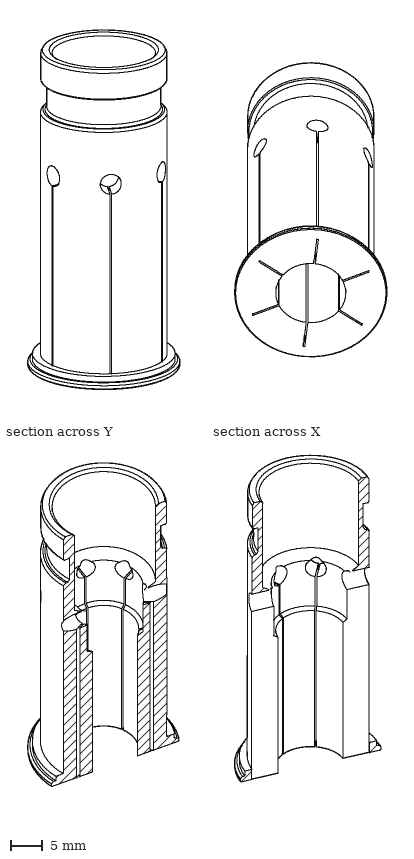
import cadquery as cq
import math

height = 52.5
flange_radius = 24.0 / 2
flange_height = 1.05
flange_top_chamfer = 0.35
flange_bottom_chamfer = 0.15
step_radius = 22.5 / 2
step_top = 2.0
body_radius = 20.0 / 2
body_top = 42.6
body_chamfer = 0.4
neck_radius = 18.0 / 2
head_radius = 19.9 / 2
head_height = 5.05
head_bottom_chamfer = 0.2
steep_chamfer_width = 0.25
steep_chamfer_height = 0.5

socket_radius = 16.3 / 2
socket_chamfer = 0.45
socket_floor_slope = 31.0
bore_radius = 11.0 / 2
relief_radius = 12.45 / 2
relief_floor = 26.25
relief_floor_slope = 31.0
relief_top = 34.85

slot_count = 6
slot_width = 0.25
hole_diameter = 3.3
hole_height = 33.5


def cone_rise(outer_radius, inner_radius, slope):
    """Height of a conical floor between two radii."""
    return (outer_radius - inner_radius) * math.tan(math.radians(slope))


def make_sleeve():
    """Revolve the wall section, drawn as (radius, height), about Z."""
    head_bottom = height - head_height
    socket_floor = relief_top + cone_rise(socket_radius, relief_radius, socket_floor_slope)
    bore_top = relief_floor - cone_rise(relief_radius, bore_radius, relief_floor_slope)
    section = (
        cq.Workplane("XZ")
        .moveTo(bore_radius, 0)
        .lineTo(flange_radius - flange_bottom_chamfer, 0)
        .lineTo(flange_radius, flange_bottom_chamfer)
        .lineTo(flange_radius, flange_height - flange_top_chamfer)
        .lineTo(flange_radius - flange_top_chamfer, flange_height)
        .lineTo(step_radius, flange_height)
        .lineTo(step_radius, step_top)
        .lineTo(body_radius, step_top)
        .lineTo(body_radius, body_top - body_chamfer)
        .lineTo(body_radius - body_chamfer, body_top)
        .lineTo(neck_radius + steep_chamfer_width, body_top)
        .lineTo(neck_radius, body_top + steep_chamfer_height)
        .lineTo(neck_radius, head_bottom)
        .lineTo(head_radius - head_bottom_chamfer, head_bottom)
        .lineTo(head_radius, head_bottom + head_bottom_chamfer)
        .lineTo(head_radius, height - steep_chamfer_height)
        .lineTo(head_radius - steep_chamfer_width, height)
        .lineTo(socket_radius + socket_chamfer, height)
        .lineTo(socket_radius, height - socket_chamfer)
        .lineTo(socket_radius, socket_floor)
        .lineTo(relief_radius, relief_top)
        .lineTo(relief_radius, relief_floor)
        .lineTo(bore_radius, bore_top)
        .close()
    )
    return section.revolve(360, (0, 0, 0), (0, 1, 0))


def make_slot(angle):
    """Radial hole with a narrow slot running from it to the bottom, inside the flange rim."""
    hole = (
        cq.Workplane("YZ")
        .center(0, hole_height)
        .circle(hole_diameter / 2)
        .extrude(flange_radius)
    )
    slot = cq.Workplane("XY").box(
        body_radius, slot_width, hole_height, centered=(False, True, False)
    )
    return hole.union(slot).rotate((0, 0, 0), (0, 0, 1), angle)


result = make_sleeve()
for index in range(slot_count):
    result = result.cut(make_slot(90 + index * 360 / slot_count))